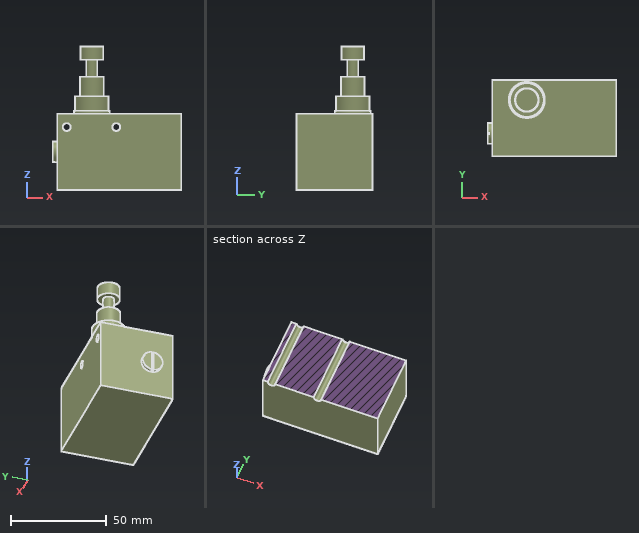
import cadquery as cq

total_height = 75.3
block_side = 40.0
block_length = 65.05

stem_x = 18.15
stem_from_back = 10.5
stem_y = block_side / 2 - stem_from_back
stem_steps = [
    (19.0, 1.5),
    (17.7, 9.2),
    (12.5, 19.35),
    (5.9, 28.2),
    (12.0, total_height - block_side),
]

screw_diameter = 11.0
screw_height = 2.4
screw_from_front = 12.0
screw_y = screw_from_front - block_side / 2
screw_z = block_side / 2
slot_width = 1.0
slot_depth = 1.0
slot_end_wall = 0.04
slot_length = screw_diameter - 2 * slot_end_wall

hole_diameter = 4.0
first_hole_x = 5.0
hole_spacing = 26.0
hole_from_top = 7.0
hole_z = block_side - hole_from_top


def make_block():
    block = cq.Workplane("XY").box(block_length, block_side, block_side, centered=(False, True, False))
    hole_centers = [(first_hole_x, hole_z), (first_hole_x + hole_spacing, hole_z)]
    holes = (
        cq.Workplane("XZ")
        .pushPoints(hole_centers)
        .circle(hole_diameter / 2)
        .extrude(block_side / 2, both=True)
    )
    return block.cut(holes)


def add_stem(body):
    step_bottom = 0.0
    for diameter, step_top in stem_steps:
        step = (
            cq.Workplane("XY", origin=(stem_x, stem_y, block_side + step_bottom))
            .circle(diameter / 2)
            .extrude(step_top - step_bottom)
        )
        body = body.union(step)
        step_bottom = step_top
    return body


def make_screw_head():
    head = (
        cq.Workplane("YZ", origin=(-screw_height, screw_y, screw_z))
        .circle(screw_diameter / 2)
        .extrude(screw_height)
    )
    slot = (
        cq.Workplane("YZ", origin=(-screw_height, screw_y, screw_z))
        .rect(slot_width, slot_length)
        .extrude(slot_depth)
    )
    return head.cut(slot)


result = add_stem(make_block()).union(make_screw_head())